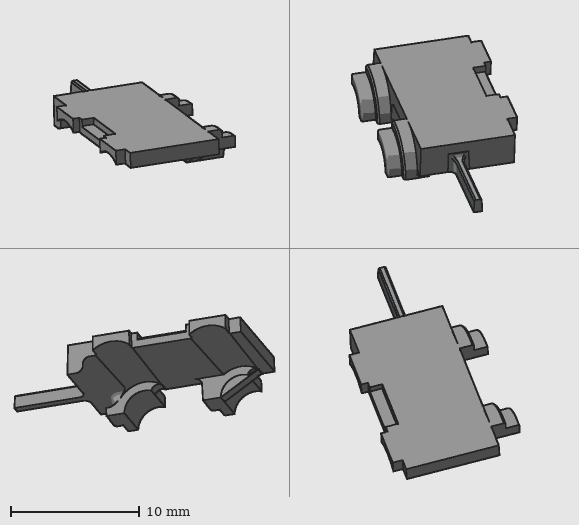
import cadquery as cq
import math

length = 20.4
depth = 10.7
height = 3.18
draft_angle = 2.3
lean = math.tan(math.radians(draft_angle))

body_left = 6.05
body_front = 0.8
body_rear = 8.39
plate_bottom = 1.94
wall_bottom = 0.7
plate_thickness = height - plate_bottom
body_right = length - plate_thickness * lean

wall_inner_face = 7.25
wheel_front = 7.53
inside_radius = 0.57

pitch = 8.02
first_axis = 9.9
axes = (first_axis, first_axis + pitch)
hub_radius = height
rim_radius = 2.51
bore_radius = 1.67
hub_rear = 9.57
wheel_end = 0.51
wheel_edge = 0.15
tab_width = 3.02
channel_front_radius = 2.51
channel_wheel_radius = 2.4

middle_front = 0.55
window_width = 4.06
window_back = 1.57
window_depth = 0.65
sill_round = 0.12

pin_centre = 5.37
pin_bottom_width = 0.7
pin_height = 1.12
pin_edge = 0.12
root_radius = 0.53

brace_tip = 1.5
brace_setback = 0.01


def extrude_along_y(profile, start, end):
    """Solid from an XZ profile drawn on a plane facing -Y."""
    return profile.extrude(start - end).translate((0, start, 0))


def xz_polygon(points, start, end):
    return extrude_along_y(cq.Workplane("XZ").polyline(points).close(), start, end)


def box(x_range, y_range, z_range):
    (x0, x1), (y0, y1), (z0, z1) = x_range, y_range, z_range
    return cq.Workplane("XY").box(x1 - x0, y1 - y0, z1 - z0, centered=False).translate((x0, y0, z0))


def front_block(x0, x1, front):
    """Plate-thick block whose front face leans back towards its bottom."""
    inside = body_front + 2 * plate_thickness * lean
    points = [
        (front, height),
        (inside, height),
        (inside, plate_bottom),
        (front + plate_thickness * lean, plate_bottom),
    ]
    return cq.Workplane("YZ").polyline(points).close().extrude(x1 - x0).translate((x0, 0, 0))


def leaning_slab():
    """Full-height slab between the front and rear planes of the body."""
    shift = height * lean
    side = [
        (body_front, height),
        (body_rear, height),
        (body_rear + shift, 0),
        (body_front + shift, 0),
    ]
    return cq.Workplane("YZ").polyline(side).close().extrude(2 * length)


def make_shell():
    """Plate with a thick wall on the left and a rounded pocket underneath."""
    drop = height - wall_bottom
    face = [
        (body_left, height),
        (body_right, height),
        (body_right + drop * lean, wall_bottom),
        (body_left - drop * lean, wall_bottom),
    ]
    shell = leaning_slab().intersect(xz_polygon(face, 0, depth))

    pocket = box((wall_inner_face, 2 * length), (-depth, wheel_front), (0, plate_bottom))
    pocket = pocket.edges("(<X and >Y) or (<X and >Z) or (>Y and >Z)").fillet(inside_radius)
    shell = shell.cut(pocket)
    margin = 0.02
    lip = cq.selectors.BoxSelector(
        (wall_inner_face - margin, body_front, wall_bottom - margin),
        (length, wheel_front + margin, wall_bottom + margin),
    )
    shell = shell.edges(lip).fillet(inside_radius)
    return shell.cut(box((first_axis, 2 * length), (0, depth), (0, plate_bottom)))


def make_channel(axis):
    """Tapered round channel along Y that narrows towards the wheel."""
    taper = (channel_front_radius - channel_wheel_radius) / wheel_front
    rear_radius = channel_front_radius - taper * depth
    cone = cq.Solid.makeCone(
        channel_front_radius, rear_radius, depth, cq.Vector(axis, 0, 0), cq.Vector(0, 1, 0)
    )
    return cq.Workplane(cone)


def wheel_stage(axis, radius, end):
    """Quarter disc with a flat run on top and a leaning flat end, its outer rim edges selected."""
    end_at_base = wheel_end + height * lean
    end_at_top = wheel_end + (height - radius) * lean
    profile = (
        cq.Workplane("XZ")
        .moveTo(axis - radius, 0)
        .radiusArc((axis, radius), radius)
        .lineTo(axis + end_at_top, radius)
        .lineTo(axis + end_at_base, 0)
        .close()
    )
    stage = extrude_along_y(profile, body_rear, end)
    margin = 0.02
    outer_rim = cq.selectors.BoxSelector(
        (axis - radius, end - margin, radius / 4),
        (axis + wheel_end, end + margin, radius + margin),
    )
    return stage.edges(outer_rim)


def wheel_root(axis):
    """Part of the wheel under the plate, blended into the plate on both ends."""
    left_base = axis - hub_radius + wall_bottom * lean
    left_top = left_base - plate_bottom * lean
    end = axis + wheel_end + plate_thickness * lean
    blend_x = end + inside_radius
    reach = channel_wheel_radius - inside_radius
    blend_z = math.sqrt(reach**2 - (blend_x - axis) ** 2)
    touch_x = axis + (blend_x - axis) * channel_wheel_radius / reach
    touch_z = blend_z * channel_wheel_radius / reach
    buried_top = (channel_wheel_radius + height) / 2
    profile = (
        cq.Workplane("XZ")
        .moveTo(left_base, 0)
        .lineTo(left_top, plate_bottom - inside_radius)
        .radiusArc((left_top - inside_radius, plate_bottom), -inside_radius)
        .lineTo(left_top, buried_top)
        .lineTo(touch_x, buried_top)
        .lineTo(touch_x, touch_z)
        .radiusArc((end, blend_z), -inside_radius)
        .lineTo(end, 0)
        .close()
    )
    return extrude_along_y(profile, wheel_front, hub_rear).intersect(leaning_slab())


def make_wheel(axis):
    hub = wheel_stage(axis, hub_radius, hub_rear).chamfer(wheel_edge)
    rim = wheel_stage(axis, rim_radius, depth).fillet(wheel_edge)
    return wheel_root(axis).union(hub).union(rim)


def make_bore(axis):
    return extrude_along_y(cq.Workplane("XZ").center(axis, 0).circle(bore_radius), wheel_front, depth)


def make_brace(axis):
    """Sloping web across the second bore that runs out at the plate."""
    wheel_tip = wheel_end + plate_thickness * lean
    buried_radius = bore_radius + 0.2
    points = [
        (axis - bore_radius, 0),
        (axis + brace_tip, plate_bottom),
        (axis + wheel_tip, math.sqrt(bore_radius**2 - wheel_tip**2)),
        (axis, buried_radius),
        (axis - buried_radius, bore_radius),
        (axis - buried_radius, 0),
    ]
    return xz_polygon(points, wheel_front + brace_setback, body_rear)


def make_window():
    """Recess in the front edge with drafted walls, a flat floor and a rounded sill."""
    middle = first_axis + pitch / 2
    sill = height - window_depth + sill_round
    front = middle_front + (height - sill) * lean
    floor_back = window_back - window_depth * lean
    section = (
        cq.Workplane("YZ")
        .moveTo(window_back, height)
        .lineTo(floor_back, sill)
        .lineTo(front + sill_round, sill)
        .radiusArc((front, sill - sill_round), -sill_round)
        .lineTo(0, sill - sill_round)
        .lineTo(0, height)
        .close()
        .extrude(length)
    )
    half_top = window_width / 2
    half_bottom = half_top - window_depth * lean
    bottom = height - window_depth
    opening = [
        (middle - half_top, height),
        (middle + half_top, height),
        (middle + half_bottom, bottom),
        (middle - half_bottom, bottom),
    ]
    return section.intersect(xz_polygon(opening, 0, depth))


def make_pin():
    """Drafted pin along X whose root flares into the body wall."""
    wall = body_left - (height - wall_bottom) * lean
    flare_start = wall - root_radius
    buried = wall + 0.2
    half = pin_bottom_width / 2
    pin_top = wall_bottom + pin_height
    wide = half + root_radius
    plan = (
        cq.Workplane("XY", origin=(0, 0, wall_bottom))
        .moveTo(0, -half)
        .lineTo(flare_start, -half)
        .radiusArc((wall, -wide), root_radius)
        .lineTo(buried, -wide)
        .lineTo(buried, wide)
        .lineTo(wall, wide)
        .radiusArc((flare_start, half), root_radius)
        .lineTo(0, half)
        .close()
        .extrude(height - wall_bottom, taper=draft_angle)
    )
    side = (
        cq.Workplane("XZ")
        .moveTo(0, wall_bottom)
        .lineTo(0, pin_top)
        .lineTo(flare_start, pin_top)
        .radiusArc((wall, pin_top + root_radius), -root_radius)
        .lineTo(buried, pin_top + root_radius)
        .lineTo(buried, wall_bottom)
        .close()
    )
    pin = plan.intersect(extrude_along_y(side, -wide, wide))
    margin = 0.02
    upper_edges = cq.selectors.BoxSelector(
        (flare_start / 4, -half, pin_top - margin),
        (flare_start * 3 / 4, half, pin_top + margin),
    )
    pin = pin.edges(upper_edges).chamfer(pin_edge)
    return pin.translate((0, pin_centre, 0))


body = make_shell()
for axis in axes:
    body = body.union(front_block(axis - tab_width / 2, axis + tab_width / 2, 0))
body = body.union(front_block(axes[0], axes[1], middle_front))
for axis in axes:
    body = body.cut(make_channel(axis))
for axis in axes:
    body = body.union(make_wheel(axis))
    body = body.cut(make_bore(axis))
body = body.union(make_brace(axes[1]))
body = body.cut(make_window())
result = body.union(make_pin())